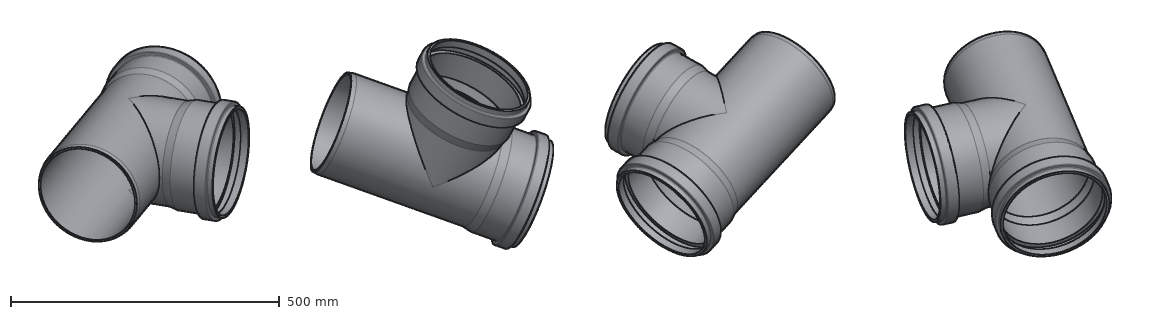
import cadquery as cq

main_length = 405.0
pipe_diameter = 200.5
bore_diameter = 189.0

spigot_diameter = 197.2
spigot_taper_length = 9.0

branch_position = 205.5
branch_length = 201.5
branch_lean = 2.5

socket_diameter = 209.5
socket_bore_diameter = 201.0
lip_diameter = 211.0
ring_diameter = 226.0
groove_diameter = 217.0
socket_length = 84.0
socket_taper_length = 17.0
lip_length = 11.0
ring_width = 23.5
ring_fillet = 1.2
ring_wall = (ring_diameter - groove_diameter) / 2


def revolve_profile(points):
    """Solid of revolution about Y from (radius, distance along Y) points."""
    return cq.Workplane("XY").polyline(points).close().revolve(360, (0, 0, 0), (0, 1, 0))


def socket_stations(length):
    """Distances to the taper start, socket start, ring start and ring end."""
    socket_start = length - socket_length
    ring_end = length - lip_length
    return socket_start - socket_taper_length, socket_start, ring_end - ring_width, ring_end


def circles_at(position):
    """Selector for full circles about Y lying at the given position."""
    reach = 0.5
    low_corner = (-reach, position - reach, -reach)
    high_corner = (reach, position + reach, reach)
    return cq.selectors.BoxSelector(low_corner, high_corner)


def outer_body(length, start_points):
    """Pipe with a socket at its far end; start_points shape the near end."""
    taper_start, socket_start, ring_start, ring_end = socket_stations(length)
    body = revolve_profile(
        [
            *start_points,
            (pipe_diameter / 2, taper_start),
            (socket_diameter / 2, socket_start),
            (socket_diameter / 2, ring_start),
            (ring_diameter / 2, ring_start),
            (ring_diameter / 2, ring_end),
            (lip_diameter / 2, ring_end),
            (lip_diameter / 2, length),
            (0, length),
        ]
    )
    return body.edges(circles_at(ring_start) + circles_at(ring_end)).fillet(ring_fillet)


def inner_cavity(length):
    """Bore that widens into the socket, with the seal groove under the ring."""
    taper_start, socket_start, ring_start, ring_end = socket_stations(length)
    groove_start = ring_start + ring_wall
    groove_end = ring_end - ring_wall
    return revolve_profile(
        [
            (0, 0),
            (bore_diameter / 2, 0),
            (bore_diameter / 2, taper_start),
            (socket_bore_diameter / 2, socket_start),
            (socket_bore_diameter / 2, groove_start),
            (groove_diameter / 2, groove_start),
            (groove_diameter / 2, groove_end),
            (socket_bore_diameter / 2, groove_end),
            (socket_bore_diameter / 2, length),
            (0, length),
        ]
    )


def place_branch(body):
    """Turn a body from the Y axis onto the leaning branch axis."""
    turned = body.rotate((0, 0, 0), (0, 0, 1), branch_lean - 90)
    return turned.translate((0, branch_position, 0))


spigot_end = [
    (0, 0),
    (spigot_diameter / 2, 0),
    (pipe_diameter / 2, spigot_taper_length),
]
branch_root = [(0, 0), (pipe_diameter / 2, 0)]

main_body = outer_body(main_length, spigot_end)
branch_body = place_branch(outer_body(branch_length, branch_root))
main_cavity = inner_cavity(main_length)
branch_cavity = place_branch(inner_cavity(branch_length))

result = main_body.union(branch_body).cut(main_cavity).cut(branch_cavity)